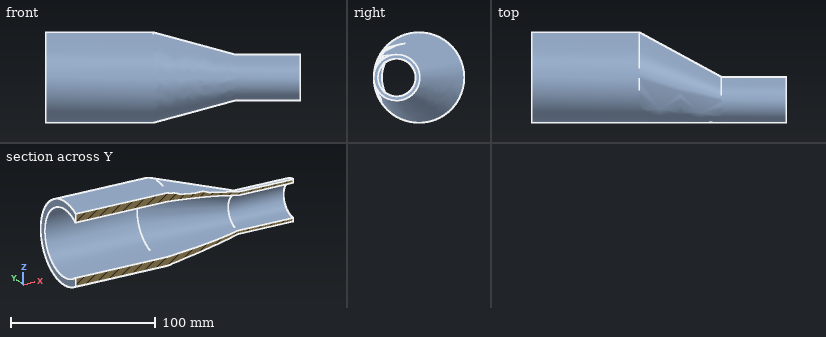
import cadquery as cq

total_length = 177.0
large_length = 74.9
small_length = 45.1
cone_length = total_length - large_length - small_length

large_outer_diameter = 63.0
large_bore_diameter = 51.3
small_outer_diameter = 32.0
small_bore_diameter = 26.0

small_axis_y = -(large_outer_diameter - small_outer_diameter) / 2


def reducer_body(large_diameter, small_diameter):
    """Solid large cylinder, slanted cone and offset small cylinder."""
    large_circle = cq.Workplane("YZ").circle(large_diameter / 2)
    large_pipe = large_circle.extrude(large_length)
    cone = (
        cq.Workplane("YZ", origin=(large_length, 0, 0))
        .circle(large_diameter / 2)
        .workplane(offset=cone_length)
        .center(small_axis_y, 0)
        .circle(small_diameter / 2)
        .loft(ruled=True)
    )
    small_pipe = (
        cq.Workplane("YZ", origin=(large_length + cone_length, small_axis_y, 0))
        .circle(small_diameter / 2)
        .extrude(small_length)
    )
    return large_pipe.union(cone).union(small_pipe)


outer_body = reducer_body(large_outer_diameter, small_outer_diameter)
bore = reducer_body(large_bore_diameter, small_bore_diameter)

result = outer_body.cut(bore)